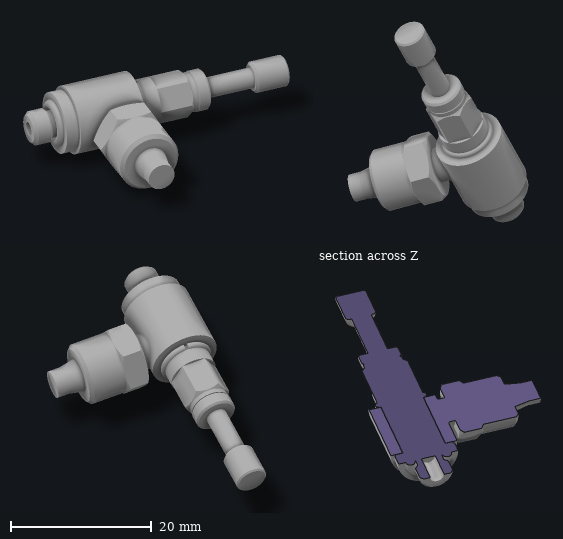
import cadquery as cq
import math


ring_radius = 10.0 / 2
ring_front = -6.48
ring_back = ring_front + 2 * ring_radius
journal_radius = 6.3 / 2
neck_radius = 5.0 / 2
neck_fillet = 0.2
nut_start = 6.0
nut_end = 9.55
nut_flats = 9.0
nut_face_radius = 4.45
nut_chamfer_length = 0.45
sleeve_radius = nut_flats / 2
sleeve_end = 15.0
sleeve_chamfer = 0.5
spigot_root_radius = 2.45
spigot_radius = 4.0 / 2
spigot_taper_end = 17.22
arm_end = 24.0 - ring_radius

total_length = 39.5
front_end = -12.5
thread_radius = 5.0 / 2
thread_chamfer = 0.5
thread_back = -10.0
relief_radius = 4.0 / 2
relief_front = thread_back + thread_radius - relief_radius
port_radius = 2.0 / 2

flange_radius = 9.0 / 2
flange_front = -8.45
flange_back = -6.68
gap_radius = 4.35
seal_outer_radius = 6.9 / 2
seal_tube_radius = (seal_outer_radius - relief_radius) / 2
seal_tip = flange_front - seal_tube_radius

clip_radius = 3.87
clip_tube_radius = 0.47
clip_end = ring_back + 2 * clip_tube_radius
clip_gap = 0.55

collar_radius = 6.9 / 2
collar_end = 6.6
hex_flats = 6.0
hex_end = 11.85
hex_chamfer_length = 0.5
shoulder_radius = 5.8 / 2
shoulder_end = 12.52
groove_radius = 2.73
lock_radius = 6.0 / 2
lock_start = 12.8
lock_end = 14.58
lock_chamfer = 0.28

stem_radius = 3.0 / 2
knob_radius = 4.6 / 2
knob_start = 21.9
knob_end = front_end + total_length
knob_front_chamfer = 0.35
knob_back_chamfer = 0.25


def corner_radius(across_flats):
    return across_flats / math.sqrt(3)


def hex_prism(across_flats, length):
    """Hexagon along +Z from the origin, with two corners on the X axis."""
    return cq.Workplane("XY").polygon(6, 2 * corner_radius(across_flats)).extrude(length)


def along_y(solid, start):
    return solid.rotate((0, 0, 0), (1, 0, 0), -90).translate((0, start, 0))


def along_x(solid, start):
    """Turn a Z-axis solid to +X, putting its X corners on the Y axis."""
    turned = solid.rotate((0, 0, 0), (0, 0, 1), 90).rotate((0, 0, 0), (0, 1, 0), 90)
    return turned.translate((start, 0, 0))


def cylinder_y(radius, start, end):
    return along_y(cq.Workplane("XY").circle(radius).extrude(end - start), start)


def revolve_y(points):
    """Revolve an outline of (radius, y) points around the Y axis."""
    return cq.Workplane("XY").polyline(points).close().revolve(360, (0, 0, 0), (0, 1, 0))


def make_arm_nut():
    length = nut_end - nut_start
    corner = corner_radius(nut_flats)
    chamfer_envelope = (
        cq.Workplane("XZ")
        .polyline([
            (0, 0),
            (nut_face_radius, 0),
            (corner, nut_chamfer_length),
            (corner, length - nut_chamfer_length),
            (nut_face_radius, length),
            (0, length),
        ])
        .close()
        .revolve(360, (0, 0, 0), (0, 1, 0))
    )
    return along_x(hex_prism(nut_flats, length).intersect(chamfer_envelope), nut_start)


def make_sleeve_and_spigot():
    return (
        cq.Workplane("XY")
        .polyline([
            (nut_end, 0),
            (nut_end, sleeve_radius),
            (sleeve_end - sleeve_chamfer, sleeve_radius),
            (sleeve_end, sleeve_radius - sleeve_chamfer),
            (sleeve_end, spigot_root_radius),
            (spigot_taper_end, spigot_radius),
            (arm_end, spigot_radius),
            (arm_end, 0),
        ])
        .close()
        .revolve(360, (0, 0, 0), (1, 0, 0))
    )


def make_banjo():
    ring = cylinder_y(ring_radius, ring_front, ring_back)
    neck = cq.Workplane("YZ").circle(neck_radius).extrude(nut_start)
    body = ring.union(neck)
    joint = cq.selectors.BoxSelector(
        (ring_radius / 2, -ring_radius / 2, -ring_radius),
        (nut_start - neck_fillet, ring_radius / 2, ring_radius),
    )
    body = body.edges(joint).fillet(neck_fillet)
    body = body.union(make_arm_nut()).union(make_sleeve_and_spigot())
    return body.cut(cylinder_y(journal_radius, ring_front, ring_back))


def make_spindle_front():
    front = revolve_y([
        (0, front_end),
        (thread_radius - thread_chamfer, front_end),
        (thread_radius, front_end + thread_chamfer),
        (thread_radius, thread_back),
        (relief_radius, relief_front),
        (relief_radius, flange_front),
        (flange_radius, flange_front),
        (flange_radius, flange_back),
        (gap_radius, flange_back),
        (gap_radius, ring_front),
        (journal_radius, ring_front),
        (journal_radius, clip_end),
        (0, clip_end),
    ])
    seal = (
        cq.Workplane("XY")
        .moveTo(relief_radius, flange_front)
        .threePointArc((relief_radius + seal_tube_radius, seal_tip), (seal_outer_radius, flange_front))
        .close()
        .revolve(360, (0, 0, 0), (0, 1, 0))
    )
    port = cylinder_y(port_radius, front_end, flange_front)
    return front.union(seal).cut(port)


def make_clip():
    tube_center = clip_radius - clip_tube_radius
    ring = (
        cq.Workplane("XY")
        .moveTo(journal_radius, ring_back)
        .lineTo(tube_center, ring_back)
        .threePointArc((clip_radius, ring_back + clip_tube_radius), (tube_center, clip_end))
        .lineTo(journal_radius, clip_end)
        .close()
        .revolve(360, (0, 0, 0), (0, 1, 0))
    )
    split = (
        cq.Workplane("XY")
        .box(clip_gap, clip_end - ring_back, clip_radius, centered=(True, False, False))
        .translate((0, ring_back, 0))
    )
    return ring.cut(split)


def make_spindle_hex():
    blank = along_y(hex_prism(hex_flats, hex_end - collar_end), collar_end)
    envelope = revolve_y([
        (0, collar_end),
        (collar_radius, collar_end),
        (collar_radius, hex_end - hex_chamfer_length),
        (shoulder_radius, hex_end),
        (0, hex_end),
    ])
    return blank.intersect(envelope)


def make_spindle_back():
    return revolve_y([
        (0, hex_end),
        (shoulder_radius, hex_end),
        (shoulder_radius, shoulder_end),
        (groove_radius, shoulder_end),
        (lock_radius, lock_start),
        (lock_radius, lock_end - lock_chamfer),
        (lock_radius - lock_chamfer, lock_end),
        (stem_radius, lock_end),
        (stem_radius, knob_start),
        (knob_radius - knob_front_chamfer, knob_start),
        (knob_radius, knob_start + knob_front_chamfer),
        (knob_radius, knob_end - knob_back_chamfer),
        (knob_radius - knob_back_chamfer, knob_end),
        (0, knob_end),
    ])


def make_valve():
    collar = cylinder_y(collar_radius, clip_end, collar_end)
    valve = make_spindle_front().union(make_clip()).union(collar)
    return valve.union(make_spindle_hex()).union(make_spindle_back())


banjo = make_banjo()
valve = make_valve()
result = cq.Compound.makeCompound([banjo.val(), valve.val()])